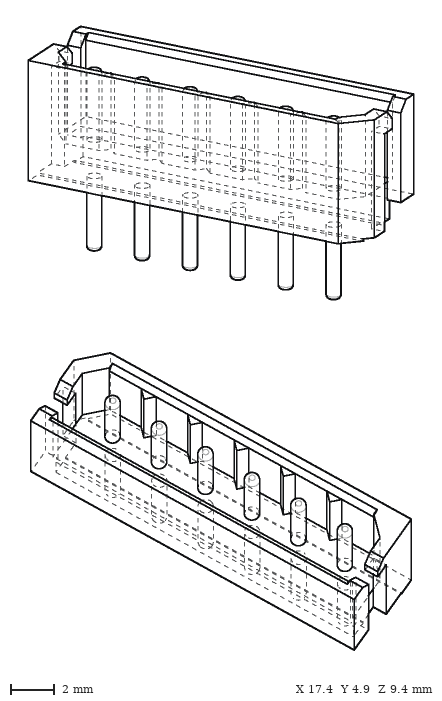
import cadquery as cq

length = 17.4
depth = 4.9
height = 5.88
overall_height = 9.4
key_chamfer = 1.22

cavity_length = 16.0
cavity_front = 0.7
cavity_back = 4.12
cavity_corner = 0.89
floor_top = 1.88
floor_back = 3.88
rim_chamfer = 0.28

rear_wall_front = 3.67
rear_wall_bottom = 1.0
hook_tip = 2.89
hook_bottom = 4.87
side_opening_front = 2.15
lead_in = 0.5

groove_front = 0.85
groove_back = 3.05
groove_depth = 0.1

pin_count = 6
pin_row_length = 12.5
pin_pitch = pin_row_length / (pin_count - 1)
pin_y = 1.8
pin_diameter = 0.7
pin_bottom = height - overall_height
pin_top = 5.35
pin_rounding = 0.21

rib_projection = 0.4
rib_top = height - rim_chamfer


def centred_row(count):
    """X positions of a centred row of features at the pin pitch."""
    return [(i - (count - 1) / 2) * pin_pitch for i in range(count)]


def along_x(points, width):
    """Extrude a closed (Y, Z) outline symmetrically along X."""
    return cq.Workplane("YZ").polyline(points).close().extrude(width / 2, both=True)


def upright(points, bottom, top):
    """Extrude a closed (X, Y) outline from one height to another."""
    return cq.Workplane("XY", origin=(0, 0, bottom)).polyline(points).close().extrude(top - bottom)


def make_shell():
    """Hooked front section, rear wall and the narrower floor joining them."""
    front_section = along_x(
        [
            (0, 0),
            (side_opening_front, 0),
            (side_opening_front, hook_bottom),
            (hook_tip, hook_bottom),
            (hook_tip, height - lead_in),
            (hook_tip - lead_in, height),
            (0, height),
        ],
        length,
    )
    rear_wall = along_x(
        [
            (rear_wall_front, rear_wall_bottom),
            (depth, rear_wall_bottom),
            (depth, height),
            (rear_wall_front + lead_in, height),
            (rear_wall_front, height - lead_in),
        ],
        length,
    )
    floor = along_x(
        [(0, 0), (floor_back, 0), (floor_back, floor_top), (0, floor_top)],
        cavity_length,
    )
    return front_section.union(floor).union(rear_wall)


def make_cavity():
    """Open-topped pocket with cut front corners and chamfered long rims."""
    half_length = cavity_length / 2
    half_front = half_length - cavity_corner
    pocket = upright(
        [
            (-half_front, cavity_front),
            (half_front, cavity_front),
            (half_length, cavity_front + cavity_corner),
            (half_length, cavity_back),
            (-half_length, cavity_back),
            (-half_length, cavity_front + cavity_corner),
        ],
        floor_top,
        height,
    )
    front_rim = along_x(
        [
            (cavity_front, height - rim_chamfer),
            (cavity_front, height),
            (cavity_front - rim_chamfer, height),
        ],
        2 * half_front,
    )
    rear_rim = along_x(
        [
            (cavity_back, height - rim_chamfer),
            (cavity_back, height),
            (cavity_back + rim_chamfer, height),
        ],
        cavity_length,
    )
    return pocket.union(front_rim).union(rear_rim)


def make_key_cut():
    """Wedge removed from the front corner at the +X end."""
    end = length / 2
    return upright([(end - key_chamfer, 0), (end, 0), (end, key_chamfer)], 0, height)


def make_groove():
    """Channel running the full length of the underside."""
    return along_x(
        [
            (groove_front, 0),
            (groove_back, 0),
            (groove_back, groove_depth),
            (groove_front, groove_depth),
        ],
        length,
    )


def make_rib(x):
    """Triangular rib rising from the floor against the front wall."""
    return upright(
        [
            (x - rib_projection, cavity_front),
            (x + rib_projection, cavity_front),
            (x, cavity_front + rib_projection),
        ],
        floor_top,
        rib_top,
    )


def make_pin(x):
    """Round pin with rounded ends, passing through the floor."""
    return (
        cq.Workplane("XY", origin=(x, pin_y, pin_bottom))
        .circle(pin_diameter / 2)
        .extrude(pin_top - pin_bottom)
        .faces("<Z or >Z")
        .edges()
        .fillet(pin_rounding)
    )


housing = make_shell().cut(make_cavity()).cut(make_key_cut()).cut(make_groove())

for rib_x in centred_row(pin_count - 1):
    housing = housing.union(make_rib(rib_x))

for pin_x in centred_row(pin_count):
    housing = housing.union(make_pin(pin_x))

result = housing